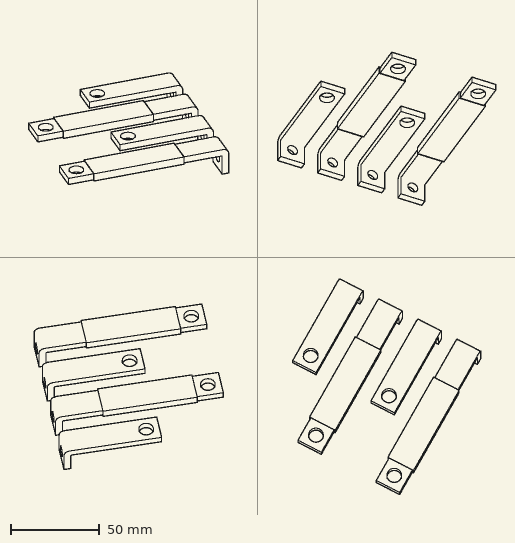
import cadquery as cq

bar_width = 15.0
bar_thickness = 4.0
bend_outer_radius = 3.5
bend_inner_radius = 0.4
leg_height = 16.0
short_length = 56.0
long_length = 96.0

flat_hole_diameter = 8.3
flat_hole_end_distance = bar_width / 2
leg_hole_diameter = 6.0
leg_hole_height = bar_width / 2

sleeve_length = 54.0
sleeve_start = 27.0
sleeve_side_step = 0.72
sleeve_face_step = 0.4
sleeve_width = bar_width + 2 * sleeve_side_step
sleeve_thickness = bar_thickness + 2 * sleeve_face_step

pair_count = 2
row_width = 90.7
bar_pitch = (row_width - bar_width / 2 - sleeve_width / 2) / (2 * pair_count - 1)


def bent_bar(length, center_x):
    """L-shaped bar with its leg's outer face at Y = 0 and its foot at Z = 0."""
    outline = (
        cq.Workplane("YZ")
        .moveTo(0, 0)
        .lineTo(0, leg_height)
        .lineTo(-length, leg_height)
        .lineTo(-length, leg_height - bar_thickness)
        .lineTo(-bar_thickness, leg_height - bar_thickness)
        .lineTo(-bar_thickness, 0)
        .close()
    )
    bar = outline.extrude(bar_width / 2, both=True)
    bar = bar.edges("|X and >Y and >Z").fillet(bend_outer_radius)
    inner_corner = cq.selectors.NearestToPointSelector(
        (0, -bar_thickness, leg_height - bar_thickness)
    )
    bar = bar.edges(inner_corner).fillet(bend_inner_radius)

    flat_hole = (
        cq.Workplane("XY")
        .center(0, flat_hole_end_distance - length)
        .circle(flat_hole_diameter / 2)
        .extrude(leg_height)
    )
    leg_hole = (
        cq.Workplane("XZ")
        .center(0, leg_hole_height)
        .circle(leg_hole_diameter / 2)
        .extrude(bar_thickness)
    )
    return bar.cut(flat_hole).cut(leg_hole).translate((center_x, 0, 0))


def sleeved_bar(center_x):
    """Long bent bar, thickened on all four sides along its middle."""
    sleeve = cq.Workplane("XY").box(sleeve_width, sleeve_length, sleeve_thickness)
    sleeve = sleeve.translate((
        center_x,
        -sleeve_start - sleeve_length / 2,
        leg_height - bar_thickness / 2,
    ))
    return bent_bar(long_length, center_x).union(sleeve)


bodies = []
for pair in range(pair_count):
    short_x = 2 * pair * bar_pitch
    bodies.append(bent_bar(short_length, short_x).val())
    bodies.append(sleeved_bar(short_x + bar_pitch).val())

result = cq.Compound.makeCompound(bodies)